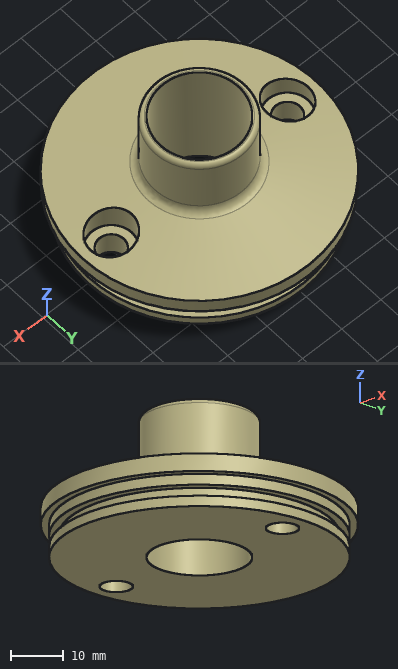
import cadquery as cq

flange_diameter = 60.0
spigot_diameter = 56.8
groove_diameter = 53.2
lower_rim_top = 2.1
groove_top = 4.3
spigot_top = 6.5
flange_top = 10.0

neck_diameter = 23.0
bore_diameter = 20.0
total_height = 28.0
cone_meets_neck = 13.1
neck_fillet = 2.0
rim_fillet = 1.1

hole_spacing = 45.0
hole_diameter = 6.3
counterbore_diameter = 10.5
counterbore_floor = 6.0


def revolved_body():
    """Revolve the outer outline about Z, as a solid without openings."""
    flange_radius = flange_diameter / 2
    spigot_radius = spigot_diameter / 2
    groove_radius = groove_diameter / 2
    neck_radius = neck_diameter / 2
    outline = [
        (0, 0),
        (spigot_radius, 0),
        (spigot_radius, lower_rim_top),
        (groove_radius, lower_rim_top),
        (groove_radius, groove_top),
        (spigot_radius, groove_top),
        (spigot_radius, spigot_top),
        (flange_radius, spigot_top),
        (flange_radius, flange_top),
        (neck_radius, cone_meets_neck),
        (neck_radius, total_height),
        (0, total_height),
    ]
    return cq.Workplane("XZ").polyline(outline).close().revolve(360, (0, 0), (0, 1))


def vertical_cutter(diameter, bottom, x=0.0):
    """Cylinder from the given level up to the top of the part."""
    height = total_height - bottom
    return cq.Workplane("XY", origin=(x, 0, bottom)).circle(diameter / 2).extrude(height)


body = revolved_body()

body = body.faces(">Z").edges().fillet(rim_fillet)
tolerance = 0.05
reach = neck_diameter
root_region = cq.selectors.BoxSelector(
    (-reach, -reach, cone_meets_neck - tolerance),
    (reach, reach, cone_meets_neck + tolerance),
)
body = body.edges(root_region).fillet(neck_fillet)

body = body.cut(vertical_cutter(bore_diameter, 0))

for x in (-hole_spacing / 2, hole_spacing / 2):
    body = body.cut(vertical_cutter(hole_diameter, 0, x))
    body = body.cut(vertical_cutter(counterbore_diameter, counterbore_floor, x))

result = body